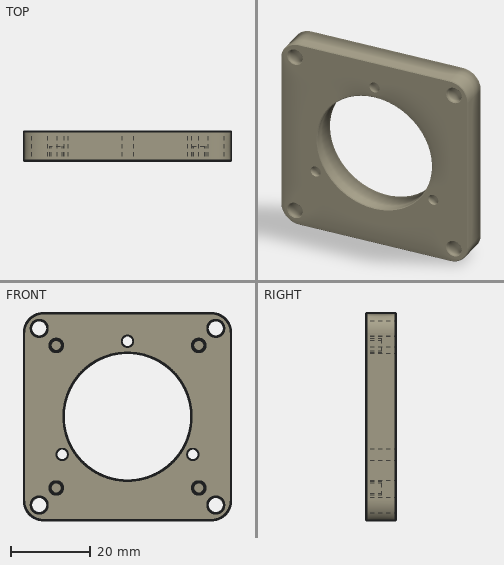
import cadquery as cq
import math

side = 52.3
thickness = 7.6
corner_radius = 5.0
edge_chamfer = 0.2

bore_diameter = 32.0
bore_chamfer = 0.2

mount_offset = 22.25
mount_diameter = 4.0
mount_chamfer = 0.2

small_hole_count = 3
small_hole_circle_radius = 19.0
small_hole_diameter = 2.8

sleeve_offset = 17.95
sleeve_outer_diameter = 3.5
sleeve_inner_diameter = 2.7
sleeve_length = thickness / 2

front_y = -thickness / 2
back_y = thickness / 2


def square_corners(offset):
    """Four (x, z) points at the corners of a centred square."""
    return [(x, z) for x in (-offset, offset) for z in (-offset, offset)]


def y_cylinder(x, z, diameter, length):
    """Cylinder along +Y that starts on the front face."""
    start = cq.Vector(x, front_y, z)
    return cq.Workplane(cq.Solid.makeCylinder(diameter / 2, length, start, cq.Vector(0, 1, 0)))


def through_hole(x, z, diameter, chamfer=0.0):
    """Cutter for a hole through the plate, with an optional chamfer at both mouths."""
    cutter = y_cylinder(x, z, diameter, thickness)
    if chamfer > 0:
        for mouth_y, inward in ((front_y, 1), (back_y, -1)):
            mouth = cq.Vector(x, mouth_y, z)
            direction = cq.Vector(0, inward, 0)
            cone = cq.Solid.makeCone(diameter / 2 + chamfer, diameter / 2, chamfer, mouth, direction)
            cutter = cutter.union(cq.Workplane(cone))
    return cutter


def make_sleeve(x, z):
    """Plain sleeve whose end is flush with the front face."""
    outer = y_cylinder(x, z, sleeve_outer_diameter, sleeve_length)
    inner = y_cylinder(x, z, sleeve_inner_diameter, sleeve_length)
    return outer.cut(inner)


def make_plate():
    """Rounded square plate with its bore, holes and sleeve grooves."""
    plate = cq.Workplane("XY").box(side, thickness, side)
    plate = plate.edges("|Y").fillet(corner_radius)
    plate = plate.faces("<Y or >Y").edges().chamfer(edge_chamfer)

    plate = plate.cut(through_hole(0, 0, bore_diameter, bore_chamfer))

    for x, z in square_corners(mount_offset):
        plate = plate.cut(through_hole(x, z, mount_diameter, mount_chamfer))

    for i in range(small_hole_count):
        angle = math.pi / 2 + i * 2 * math.pi / small_hole_count
        x = small_hole_circle_radius * math.cos(angle)
        z = small_hole_circle_radius * math.sin(angle)
        plate = plate.cut(through_hole(x, z, small_hole_diameter))

    for x, z in square_corners(sleeve_offset):
        plate = plate.cut(make_sleeve(x, z))
    return plate


plate = make_plate()
sleeves = [make_sleeve(x, z) for x, z in square_corners(sleeve_offset)]

sleeve_solids = [sleeve.solids().val() for sleeve in sleeves]
result = cq.Compound.makeCompound([plate.solids().val(), *sleeve_solids])